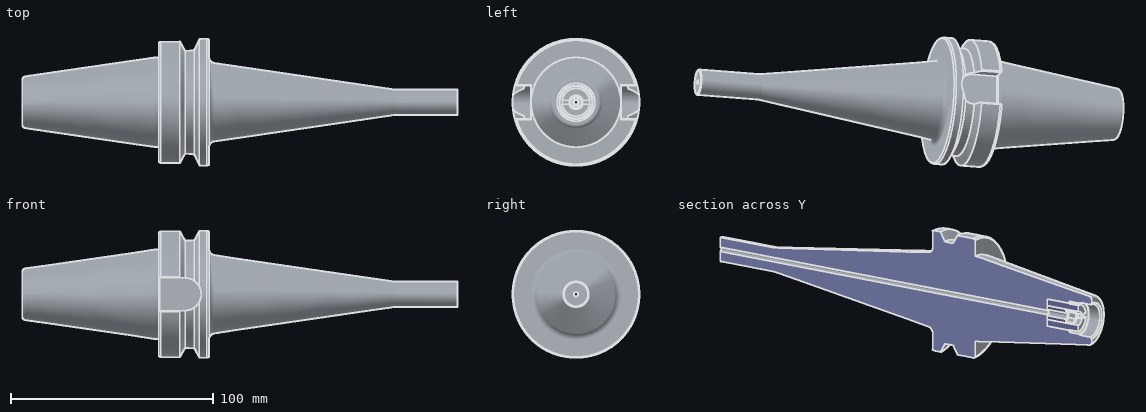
import cadquery as cq
import math


total_length = 215.5
taper_slope = 7 / 48
gauge_radius = 22.2
gauge_x = 65.5
rear_fillet = 2.0

flange_radius = 31.5
ring_radius = 31.2
flange_start = 67.5
flange_end = 92.5
ring_chamfer = 1.0
ring_chamfer_depth = 0.6
disc_chamfer = 1.0
disc_chamfer_depth = 0.5

groove_start = 78.0
groove_end = 87.7
groove_radius = 26.7
groove_wall_width = 2.5

nose_start = 184.0
nose_radius = 6.35
nose_chamfer = 0.5
neck_radius = 19.4
neck_fillet = 3.0

slot_floor = 22.5
slot_width = 16.2
slot_tip = 88.5
slot_chamfer = 0.6

mouth_radius = 9.37
bore_radius = 8.5
mouth_depth = 0.6
bore_depth = 7.0
thread_radius = 8.0
thread_depth = 13.0
coolant_radius = 2.0 / 2

plug_radius = 7.0
plug_start = 7.8
plug_end = 25.8
plug_bore_radius = 3.5
driver_slot_width = 2.0
driver_slot_depth = 2.2

screw_start = 10.8
hexagon_flats = 5.0
hexagon_depth = 4.3
screw_hole_radius = 1.5


def cylinder(radius, start, length):
    """Solid cylinder on the X axis."""
    return cq.Workplane("YZ").workplane(offset=start).circle(radius).extrude(length)


def box_from(start, end, width_y, width_z):
    """Box on the X axis from start to end."""
    return cq.Workplane("YZ").workplane(offset=start).rect(width_y, width_z).extrude(end - start)


def holder_blank():
    rear_radius = gauge_radius - taper_slope * gauge_x
    outline = (
        cq.Workplane("XY")
        .lineTo(0, rear_radius)
        .lineTo(gauge_x, gauge_radius)
        .lineTo(flange_start, gauge_radius)
        .lineTo(flange_start, ring_radius - ring_chamfer_depth)
        .lineTo(flange_start + ring_chamfer, ring_radius)
        .lineTo(groove_start, ring_radius)
        .lineTo(groove_start + groove_wall_width, groove_radius)
        .lineTo(groove_end - groove_wall_width, groove_radius)
        .lineTo(groove_end, flange_radius)
        .lineTo(flange_end - disc_chamfer, flange_radius)
        .lineTo(flange_end, flange_radius - disc_chamfer_depth)
        .lineTo(flange_end, neck_radius + neck_fillet)
        .radiusArc((flange_end + neck_fillet, neck_radius), -neck_fillet)
        .lineTo(nose_start, nose_radius)
        .lineTo(total_length - nose_chamfer, nose_radius)
        .lineTo(total_length, nose_radius - nose_chamfer)
        .lineTo(total_length, 0)
        .close()
    )
    blank = outline.revolve(360, (0, 0, 0), (1, 0, 0))
    return blank.faces("<X").edges().fillet(rear_fillet)


def drive_slot(side):
    """Cutter for one round-ended drive slot; side is -1 or +1 along Y."""
    slot_radius = slot_width / 2
    depth = flange_radius - slot_floor
    middle_y = side * (slot_floor + depth / 2)
    round_center = slot_tip - slot_radius
    straight_length = round_center - flange_start
    straight = cq.Workplane("XY").box(straight_length, depth, slot_width)
    straight = straight.translate((flange_start + straight_length / 2, middle_y, 0))
    tip = cq.Workplane("XZ").circle(slot_radius).extrude(depth / 2, both=True)
    tip = tip.translate((round_center, middle_y, 0))
    return straight.union(tip)


def slot_front_chamfer(side):
    """Flare of the slot walls and floor at the rear face of the flange."""
    front_middle_y = side * (gauge_radius + flange_radius) / 2
    back_middle_y = side * (slot_floor + flange_radius) / 2
    return (
        cq.Workplane("YZ", origin=(flange_start, 0, 0))
        .center(front_middle_y, 0)
        .rect(flange_radius - gauge_radius, slot_width + 2 * slot_chamfer)
        .workplane(offset=slot_chamfer)
        .center(back_middle_y - front_middle_y, 0)
        .rect(flange_radius - slot_floor, slot_width)
        .loft(ruled=True)
    )


def slot_rim_chamfer(side):
    """45 degree flare of the slot walls where they meet the outer cylinder of the ring."""
    half_width = slot_width / 2
    rim_y = math.sqrt(ring_radius**2 - half_width**2)
    inner_y = rim_y - slot_chamfer
    outer_half_width = half_width + flange_radius - inner_y
    return (
        cq.Workplane("YZ", origin=(flange_start, 0, 0))
        .moveTo(side * inner_y, -half_width)
        .lineTo(side * flange_radius, -outer_half_width)
        .lineTo(side * flange_radius, outer_half_width)
        .lineTo(side * inner_y, half_width)
        .close()
        .extrude(groove_start - flange_start)
    )


def holder_bores():
    outline = (
        cq.Workplane("XY")
        .lineTo(0, mouth_radius)
        .lineTo(mouth_depth, bore_radius)
        .lineTo(bore_depth, bore_radius)
        .lineTo(bore_depth, thread_radius)
        .lineTo(thread_depth, thread_radius)
        .lineTo(thread_depth, plug_radius)
        .lineTo(plug_end, plug_radius)
        .lineTo(plug_end, coolant_radius)
        .lineTo(total_length, coolant_radius)
        .lineTo(total_length, 0)
        .close()
    )
    return outline.revolve(360, (0, 0, 0), (1, 0, 0))


def make_holder():
    holder = holder_blank().cut(holder_bores())
    for side in (-1, 1):
        holder = holder.cut(drive_slot(side))
        holder = holder.cut(slot_front_chamfer(side))
        holder = holder.cut(slot_rim_chamfer(side))
    return holder


def make_plug():
    plug = cylinder(plug_radius, plug_start, plug_end - plug_start)
    bore = cylinder(plug_bore_radius, plug_start, plug_end - plug_start)
    driver_slot = box_from(plug_start, plug_start + driver_slot_depth, 2 * plug_radius, driver_slot_width)
    return plug.cut(bore).cut(driver_slot)


def make_screw():
    screw = cylinder(plug_bore_radius, screw_start, plug_end - screw_start)
    hole = cylinder(screw_hole_radius, screw_start, plug_end - screw_start)
    hexagon_corners = hexagon_flats / math.cos(math.radians(30))
    socket = cq.Workplane("YZ").workplane(offset=screw_start)
    socket = socket.transformed(rotate=(0, 0, 90)).polygon(6, hexagon_corners).extrude(hexagon_depth)
    return screw.cut(hole).cut(socket)


holder = make_holder()
plug = make_plug()
screw = make_screw()

result = cq.Compound.makeCompound([holder.val(), plug.val(), screw.val()])